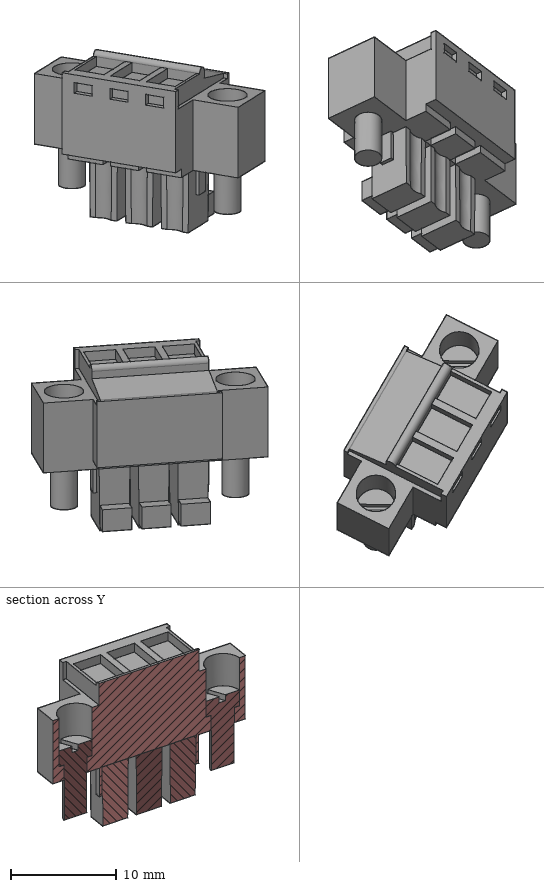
import cadquery as cq
import math


POLES = 3
POLE_PITCH = 3.82
pole_xs = [(i - (POLES - 1) / 2) * POLE_PITCH for i in range(POLES)]

OVERALL_LENGTH = 21.82
BODY_LENGTH = 12.15
BODY_BACK = 4.7
BODY_FRONT = -6.42
BODY_TOP = 9.01
BODY_BOTTOM = 0.85
BACK_WALL_TOP = 7.55
BACK_WALL = 0.4
FRONT_WALL = 0.6
SIDE_NOTCH = 0.4
inner_back = BODY_BACK - BACK_WALL
inner_front = BODY_FRONT + FRONT_WALL
ridge_length = BODY_LENGTH - 2 * SIDE_NOTCH

RIDGE_RADIUS = 0.5
RIDGE_Y = -0.17
SLOPE_TOP = 8.27
ridge_back = RIDGE_Y + RIDGE_RADIUS
ridge_front = RIDGE_Y - RIDGE_RADIUS

FLANGE_WIDTH = 5.59
FLANGE_TOP = 7.1

SKIRT_FRONT = -5.21
skirt_back = FLANGE_WIDTH / 2

POCKET_LENGTH = 3.1
POCKET_FRONT = -5.08
POCKET_DEPTH = 0.98
WINDOW_LENGTH = 1.92
WINDOW_HEIGHT = 1.07
WINDOW_TOP = 8.23

PLUG_LENGTH = 3.0
PLUG_TIP_LENGTH = 2.85
PLUG_BACK = 1.95
PLUG_FRONT = -2.2
PLUG_HEIGHT = 6.6
GROOVE_WIDTH = 1.77
GROOVE_TIP_WIDTH = 1.65
GROOVE_DEPTH = 0.26
LUG_BACK = 3.19
LUG_TOP = -4.01
LUG_BOTTOM = -6.25

TAB_SPAN = 11.25
TAB_WIDTH = 1.33
TAB_HEIGHT = 3.19

SCREW_SPAN = 16.65
HEAD_DIAMETER = 3.73
HEAD_TOP = 3.5
HEAD_SEAT = 1.75
SHANK_DIAMETER = 2.6
SHANK_END = -4.47
DRIVE_WIDTH = 0.6
DRIVE_DEPTH = 0.65
DRIVE_ANGLE = 118.0
screw_xs = [-SCREW_SPAN / 2, SCREW_SPAN / 2]


def box(x_range, y_range, z_range):
    """Box between two limits along each axis."""
    (x0, x1), (y0, y1), (z0, z1) = x_range, y_range, z_range
    return cq.Workplane("XY").box(x1 - x0, y1 - y0, z1 - z0, centered=False).translate((x0, y0, z0))


def centered_box(center_x, length, y_range, z_range):
    """Box centred on a given X, with limits along Y and Z."""
    return box((center_x - length / 2, center_x + length / 2), y_range, z_range)


def rod(diameter, z_range):
    """Upright cylinder on the Z axis."""
    z0, z1 = z_range
    return cq.Workplane("XY").workplane(offset=z0).circle(diameter / 2).extrude(z1 - z0)


def make_screw():
    """Slotted screw on the Z axis."""
    head = rod(HEAD_DIAMETER, (HEAD_SEAT, HEAD_TOP))
    shank = rod(SHANK_DIAMETER, (SHANK_END, HEAD_SEAT))
    drive_slot = (
        cq.Workplane("XY")
        .workplane(offset=HEAD_TOP - DRIVE_DEPTH)
        .transformed(rotate=(0, 0, DRIVE_ANGLE))
        .rect(2 * HEAD_DIAMETER, DRIVE_WIDTH)
        .extrude(DRIVE_DEPTH)
    )
    return head.union(shank).cut(drive_slot)


def arc_radius(width, depth):
    """Radius of an arc from its chord and its depth."""
    return (width ** 2 / 4 + depth ** 2) / (2 * depth)


def make_plug():
    """Plug centred on X = 0: tapered block, conical groove down its front, lug on its back."""
    block = (
        cq.Workplane("XZ", origin=(0, PLUG_BACK, 0))
        .moveTo(-PLUG_LENGTH / 2, 0)
        .lineTo(PLUG_LENGTH / 2, 0)
        .lineTo(PLUG_TIP_LENGTH / 2, -PLUG_HEIGHT)
        .lineTo(-PLUG_TIP_LENGTH / 2, -PLUG_HEIGHT)
        .close()
        .extrude(PLUG_BACK - PLUG_FRONT)
    )
    top_radius = arc_radius(GROOVE_WIDTH, GROOVE_DEPTH)
    axis_y = PLUG_FRONT + GROOVE_DEPTH - top_radius
    tip_radius = math.hypot(GROOVE_TIP_WIDTH / 2, PLUG_FRONT - axis_y)
    groove = cq.Solid.makeCone(
        tip_radius, top_radius, PLUG_HEIGHT, cq.Vector(0, axis_y, -PLUG_HEIGHT), cq.Vector(0, 0, 1)
    )
    lug = centered_box(0, PLUG_TIP_LENGTH, (PLUG_BACK, LUG_BACK), (LUG_BOTTOM, LUG_TOP))
    return block.cut(cq.Workplane(groove)).union(lug)


def make_outer_block():
    """Full-length block up to the notch floor, with its front and back walls and the skirt."""
    half = BODY_LENGTH / 2
    profile = (
        cq.Workplane("YZ", origin=(-half, 0, 0))
        .moveTo(SKIRT_FRONT, 0)
        .lineTo(skirt_back, 0)
        .lineTo(skirt_back, BODY_BOTTOM)
        .lineTo(BODY_BACK, BODY_BOTTOM)
        .lineTo(BODY_BACK, BACK_WALL_TOP)
        .lineTo(inner_back, BACK_WALL_TOP)
        .lineTo(inner_back, FLANGE_TOP)
        .lineTo(inner_front, FLANGE_TOP)
        .lineTo(inner_front, BODY_TOP)
        .lineTo(BODY_FRONT, BODY_TOP)
        .lineTo(BODY_FRONT, BODY_BOTTOM)
        .lineTo(SKIRT_FRONT, BODY_BOTTOM)
        .close()
    )
    return profile.extrude(BODY_LENGTH)


def make_roof():
    """Sloped roof, ridge and flat top between the two side notches."""
    return (
        cq.Workplane("YZ", origin=(-ridge_length / 2, 0, 0))
        .moveTo(inner_front, FLANGE_TOP)
        .lineTo(inner_back, FLANGE_TOP)
        .lineTo(inner_back, BACK_WALL_TOP)
        .lineTo(ridge_back, SLOPE_TOP)
        .lineTo(ridge_back, BODY_TOP)
        .threePointArc((RIDGE_Y, BODY_TOP + RIDGE_RADIUS), (ridge_front, BODY_TOP))
        .lineTo(inner_front, BODY_TOP)
        .close()
        .extrude(ridge_length)
    )


def make_housing(plugs):
    flanges = centered_box(0, OVERALL_LENGTH, (-FLANGE_WIDTH / 2, FLANGE_WIDTH / 2), (0, FLANGE_TOP))
    body = make_outer_block().union(make_roof()).union(flanges)

    tabs = centered_box(0, TAB_SPAN, (-TAB_WIDTH / 2, TAB_WIDTH / 2), (-TAB_HEIGHT, 0))
    plug_row = 2 * pole_xs[-1]
    tabs = tabs.cut(centered_box(0, plug_row, (-TAB_WIDTH, TAB_WIDTH), (-TAB_HEIGHT, 0)))
    for plug in plugs:
        tabs = tabs.cut(plug)
    body = body.union(tabs)

    for x in pole_xs:
        pocket = centered_box(
            x, POCKET_LENGTH, (POCKET_FRONT, ridge_front), (BODY_TOP - POCKET_DEPTH, BODY_TOP)
        )
        window = centered_box(
            x, WINDOW_LENGTH, (BODY_FRONT, inner_front), (WINDOW_TOP - WINDOW_HEIGHT, WINDOW_TOP)
        )
        body = body.cut(pocket).cut(window)

    for left, right in zip(pole_xs, pole_xs[1:]):
        slot = centered_box(
            (left + right) / 2, POLE_PITCH - PLUG_LENGTH, (SKIRT_FRONT, PLUG_FRONT), (0, BODY_BOTTOM)
        )
        body = body.cut(slot)

    for x in screw_xs:
        head_hole = rod(HEAD_DIAMETER, (HEAD_SEAT, FLANGE_TOP)).translate((x, 0, 0))
        shank_hole = rod(SHANK_DIAMETER, (0, HEAD_SEAT)).translate((x, 0, 0))
        body = body.cut(head_hole).cut(shank_hole)
    return body


plugs = [make_plug().translate((x, 0, 0)) for x in pole_xs]
screws = [make_screw().translate((x, 0, 0)) for x in screw_xs]
housing = make_housing(plugs)

result = cq.Compound.makeCompound(
    [housing.val(), *[plug.val() for plug in plugs], *[screw.val() for screw in screws]]
)